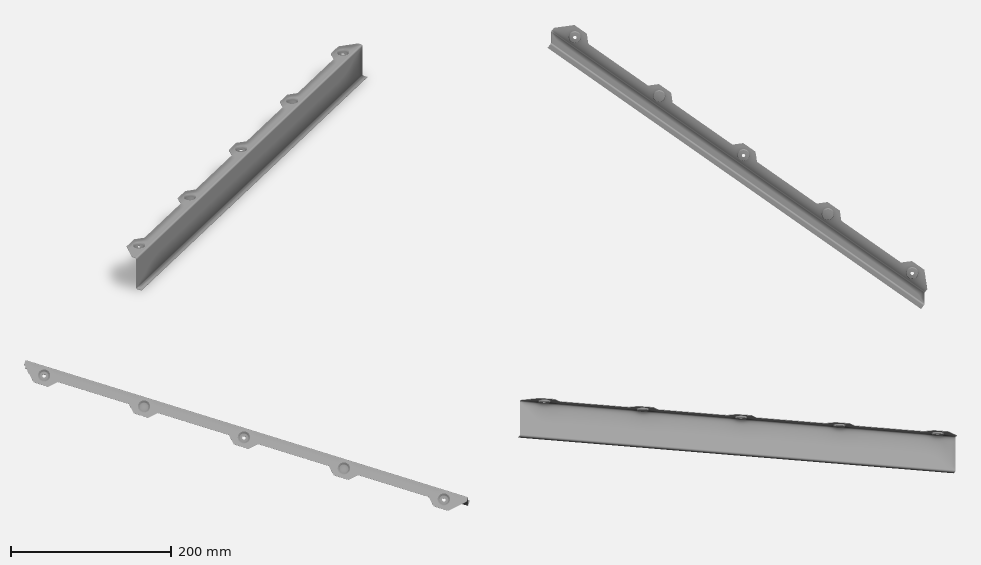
import cadquery as cq

length = 580.0
width = 31.45
height = 45.75
thickness = 0.75

inner_radius = 1.4
outer_radius = inner_radius + thickness

web_outer_x = 24.6
web_inner_x = web_outer_x - thickness

tab_count = 5
tab_end_distance = 28.0
tab_pitch = (length - 2 * tab_end_distance) / (tab_count - 1)
tab_depth = 9.6
tab_flat = 19.0

bevel = 18.2

dimple_x = 12.2
dimple_depth = 2.0
dimple_top_radius = 7.75
dimple_floor_radius = 5.75
cup_top_radius = 7.75
cup_floor_radius = 7.0

hole_diameter = 4.4
holed_tab_step = 2

first_tab_y = -length / 2 + tab_end_distance
tab_centres = [first_tab_y + i * tab_pitch for i in range(tab_count)]


def make_strip():
    """Bent strip: top flange, vertical web and bottom lip, before its edge is trimmed."""
    profile = (
        cq.Workplane("XZ", origin=(0, length / 2, 0))
        .moveTo(0, height)
        .lineTo(web_outer_x - outer_radius, height)
        .radiusArc((web_outer_x, height - outer_radius), outer_radius)
        .lineTo(web_outer_x, outer_radius)
        .radiusArc((web_outer_x + inner_radius, thickness), -inner_radius)
        .lineTo(width, thickness)
        .lineTo(width, 0)
        .lineTo(web_inner_x + outer_radius, 0)
        .radiusArc((web_inner_x, outer_radius), outer_radius)
        .lineTo(web_inner_x, height - outer_radius)
        .radiusArc((web_outer_x - outer_radius, height - thickness), -inner_radius)
        .lineTo(0, height - thickness)
        .close()
    )
    return profile.extrude(length)


def edge_cutter(points):
    """Prism that trims the top flange to the given XY outline."""
    return (
        cq.Workplane("XY", origin=(0, 0, height - thickness))
        .polyline(points)
        .close()
        .extrude(thickness)
    )


def trim_flange(body):
    """Notch the flange between neighbouring tabs and bevel its two end corners."""
    half_flat = tab_flat / 2
    for lower_y, upper_y in zip(tab_centres, tab_centres[1:]):
        start_y = lower_y + half_flat
        end_y = upper_y - half_flat
        notch = [
            (0, start_y),
            (tab_depth, start_y + tab_depth),
            (tab_depth, end_y - tab_depth),
            (0, end_y),
        ]
        body = body.cut(edge_cutter(notch))

    for side in (-1, 1):
        corner_y = side * length / 2
        corner = [(0, corner_y), (bevel, corner_y), (0, corner_y - side * bevel)]
        body = body.cut(edge_cutter(corner))
    return body


def frustum(y, top_z, top_radius, floor_radius):
    """Dimple-deep cone frustum centred on a dimple, narrowing downwards from top_z."""
    return (
        cq.Workplane("XY", origin=(dimple_x, y, top_z))
        .circle(top_radius)
        .workplane(offset=-dimple_depth)
        .circle(floor_radius)
        .loft()
    )


def press_dimple(body, y):
    """Add the shallow cup below the flange, then recess its upper face."""
    cup = frustum(y, height - thickness, cup_top_radius, cup_floor_radius)
    recess = frustum(y, height, dimple_top_radius, dimple_floor_radius)
    return body.union(cup).cut(recess)


def drill_hole(body, y):
    """Screw hole through the dimple floor."""
    floor_underside = height - dimple_depth - thickness
    drill = (
        cq.Workplane("XY", origin=(dimple_x, y, floor_underside))
        .circle(hole_diameter / 2)
        .extrude(thickness)
    )
    return body.cut(drill)


result = trim_flange(make_strip())
for centre_y in tab_centres:
    result = press_dimple(result, centre_y)
for centre_y in tab_centres[::holed_tab_step]:
    result = drill_hole(result, centre_y)